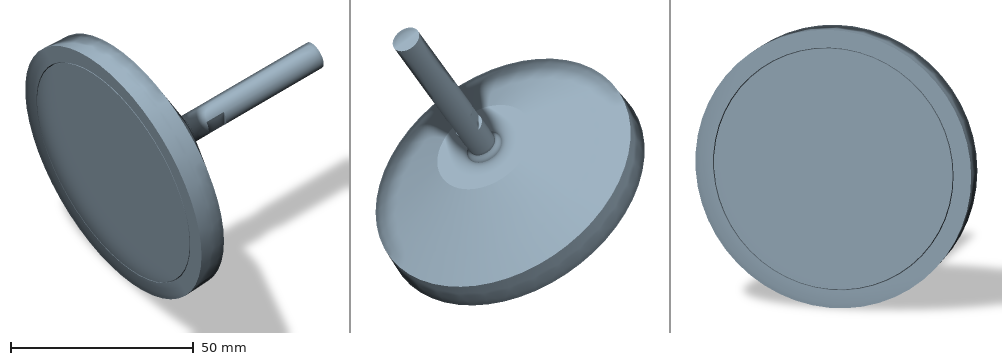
import cadquery as cq
import math


base_diameter = 78.0
rim_top_diameter = 77.2
crown_diameter = 28.55
rim_height = 8.1
crown_level = 20.0

ball_diameter = 12.8
ball_center_level = 16.4
neck_diameter = 7.8
shank_diameter = 8.0
neck_top_level = 25.0
stem_end_level = 70.0
ball_top_level = ball_center_level + math.sqrt(ball_diameter**2 - neck_diameter**2) / 2

flats_start_level = 30.0
flats_length = 6.0
across_flats = 6.0

recess_diameter = 68.0
pad_diameter = 67.5
pad_thickness = 2.0


def cylinder_along_y(diameter, start_level, length):
    """Cylinder about the Y axis that grows toward +Y."""
    plane = cq.Plane(origin=(0, start_level, 0), xDir=(1, 0, 0), normal=(0, 1, 0))
    return cq.Workplane(plane).circle(diameter / 2).extrude(length)


def ball_radius_at(level):
    """Radius about the Y axis of the ball's circular section at a level."""
    return math.sqrt((ball_diameter / 2) ** 2 - (level - ball_center_level) ** 2)


def make_turned_foot():
    """Base plate and stem, turned as one profile about the Y axis."""
    shoulder_middle_level = (crown_level + ball_top_level) / 2
    return (
        cq.Workplane("XY")
        .moveTo(0, 0)
        .lineTo(base_diameter / 2, 0)
        .lineTo(rim_top_diameter / 2, rim_height)
        .lineTo(crown_diameter / 2, crown_level)
        .lineTo(ball_radius_at(crown_level), crown_level)
        .threePointArc(
            (ball_radius_at(shoulder_middle_level), shoulder_middle_level),
            (neck_diameter / 2, ball_top_level),
        )
        .lineTo(neck_diameter / 2, neck_top_level)
        .lineTo(shank_diameter / 2, neck_top_level)
        .lineTo(shank_diameter / 2, stem_end_level)
        .lineTo(0, stem_end_level)
        .close()
        .revolve(360, (0, 0, 0), (0, 1, 0))
    )


def cut_wrench_flats(foot):
    """Mill one flat on the -X side and one on the +X side of the shank."""
    cutter_size = shank_diameter
    for side in (-1, 1):
        cutter = cq.Workplane("XY").box(cutter_size, flats_length, cutter_size).translate(
            (side * (across_flats + cutter_size) / 2, flats_start_level + flats_length / 2, 0)
        )
        foot = foot.cut(cutter)
    return foot


def make_foot():
    """Base plate with stem, wrench flats and pad recess."""
    foot = cut_wrench_flats(make_turned_foot())
    return foot.cut(cylinder_along_y(recess_diameter, 0, pad_thickness))


def make_pad():
    """Round pad seated on the recess floor, flush with the ground face."""
    return cylinder_along_y(pad_diameter, 0, pad_thickness)


foot = make_foot()
pad = make_pad()

result = cq.Compound.makeCompound([foot.val(), pad.val()])